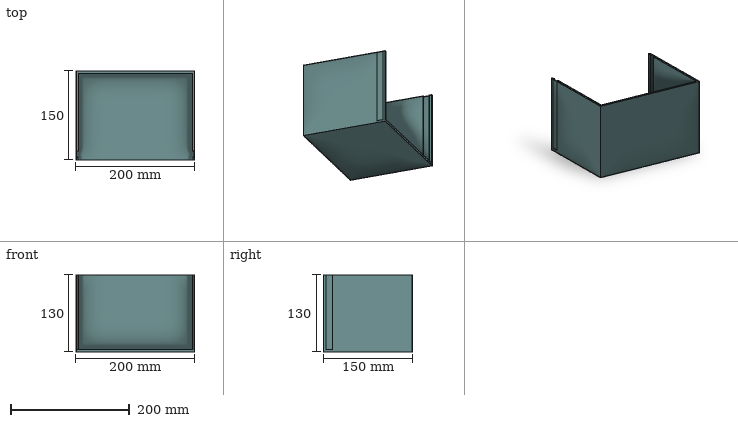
import cadquery as cq

width = 200.0
depth = 150.0
height = 130.0

wall = 4.0

lip_width = 3.0
lip_depth = 5.0
slot_wall = 1.0
slot_length = 10.0
undercut = 0.8

slot_back = lip_depth + slot_length


def half_width(side_wall):
    """Distance from the centre plane to the inner face of a side wall."""
    return width / 2 - side_wall


def cavity_outline():
    """Plan of the interior: main room, dovetail slots and front opening."""
    right_side = [
        (half_width(lip_width), 0),
        (half_width(lip_width), lip_depth),
        (half_width(slot_wall), lip_depth - undercut),
        (half_width(slot_wall), slot_back + undercut),
        (half_width(lip_width), slot_back),
        (half_width(wall), slot_back),
        (half_width(wall), depth - wall),
    ]
    left_side = [(-x, y) for x, y in reversed(right_side)]
    return right_side + left_side


body = cq.Workplane("XY").box(width, depth, height, centered=(True, False, False))

cavity = (
    cq.Workplane("XY")
    .workplane(offset=wall)
    .polyline(cavity_outline())
    .close()
    .extrude(height - wall)
)

result = body.cut(cavity)